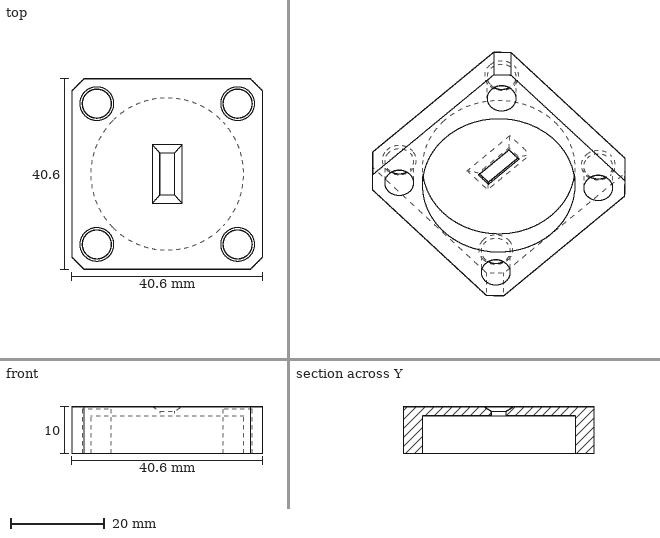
import cadquery as cq

side = 40.6
height = 10.0
corner_chamfer = 2.6

hole_diameter = 6.15
hole_offset = 15.0
hole_rim_chamfer = 0.53

slot_width = 3.1
slot_length = 8.9
mouth_width = 6.35
mouth_length = 12.45
flare_depth = 1.0
plate_thickness = 2.0

cavity_diameter = 32.5


def make_block():
    """Square block with chamfered vertical corners, top face at Z = 0."""
    block = cq.Workplane("XY").rect(side, side).extrude(-height)
    return block.edges("|Z").chamfer(corner_chamfer)


def make_bolt_hole(x, y):
    """Through hole widened by a conical chamfer at the top face."""
    radius = hole_diameter / 2
    bore = cq.Workplane("XY").circle(radius).extrude(-height)
    rim = cq.Workplane("XY").circle(radius + hole_rim_chamfer)
    rim = rim.workplane(offset=-hole_rim_chamfer).circle(radius).loft(ruled=True)
    return bore.union(rim).translate((x, y, 0))


def make_slot():
    """Rectangular slot with a tapered mouth at the top face."""
    throat = cq.Workplane("XY").rect(slot_width, slot_length).extrude(-plate_thickness)
    mouth = cq.Workplane("XY").rect(mouth_width, mouth_length)
    mouth = mouth.workplane(offset=-flare_depth).rect(slot_width, slot_length).loft(ruled=True)
    return throat.union(mouth)


def make_cavity():
    """Round cavity open at the underside."""
    cavity = cq.Workplane("XY").workplane(offset=-height).circle(cavity_diameter / 2)
    return cavity.extrude(height - plate_thickness)


result = make_block().cut(make_slot()).cut(make_cavity())
for x in (-hole_offset, hole_offset):
    for y in (-hole_offset, hole_offset):
        result = result.cut(make_bolt_hole(x, y))